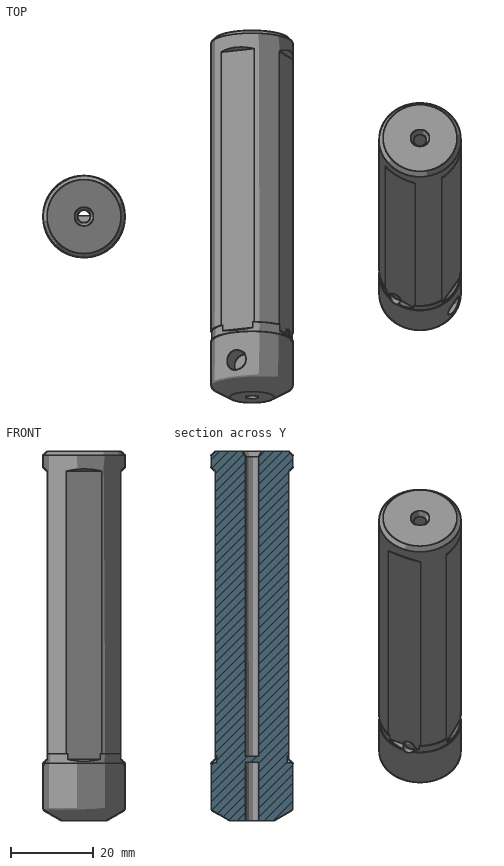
import cadquery as cq
import math

body_radius = 10.0
body_length = 90.0

top_chamfer = 1.0
nose_radius = 5.4
nose_angle = 30.0
nose_blend_radius = 0.9

groove_radius = 9.82
groove_bottom_z = 14.0
groove_top_z = 16.4

flat_distance = 9.0
x_flat_end_angle = 45.0
y_flat_end_angle = 30.0
flat_bottom_z = 15.0
flat_top_z = 85.1
cutter_overshoot = 1.0

bore_diameter = 3.1
centre_diameter = 4.6
centre_cone_angle = 60.0

pin_diameter = 3.0
pin_length = 18.0
pin_dome_radius = 3.0
pin_y = -1.25
pin_z = 15.0

side_hole_diameter = 5.0
side_hole_depth = 5.0
side_hole_z = 7.0


def make_body():
    nose_height = (body_radius - nose_radius) * math.tan(math.radians(nose_angle))
    profile = (
        cq.Workplane("XZ")
        .moveTo(0, 0)
        .lineTo(nose_radius, 0)
        .lineTo(body_radius, nose_height)
        .lineTo(body_radius, groove_bottom_z)
        .lineTo(groove_radius, groove_bottom_z)
        .lineTo(groove_radius, groove_top_z)
        .lineTo(body_radius, groove_top_z)
        .lineTo(body_radius, body_length - top_chamfer)
        .lineTo(body_radius - top_chamfer, body_length)
        .lineTo(0, body_length)
        .close()
    )
    body = profile.revolve(360, (0, 0, 0), (0, 1, 0))
    nose_rim = cq.selectors.NearestToPointSelector((0, 0, nose_height))
    return body.edges("%CIRCLE").edges(nose_rim).fillet(nose_blend_radius)


def make_flat_cutter(end_angle):
    reach = body_radius - flat_distance + cutter_overshoot
    outer = flat_distance + reach
    rise = reach * math.tan(math.radians(end_angle))
    return (
        cq.Workplane("XZ")
        .moveTo(flat_distance, flat_bottom_z)
        .lineTo(outer, flat_bottom_z - rise)
        .lineTo(outer, flat_top_z + rise)
        .lineTo(flat_distance, flat_top_z)
        .close()
        .extrude(body_radius, both=True)
    )


def make_bore():
    bore = cq.Workplane("XY").circle(bore_diameter / 2).extrude(body_length)
    half_angle = math.radians(centre_cone_angle / 2)
    cone_depth = (centre_diameter - bore_diameter) / 2 / math.tan(half_angle)
    cone = cq.Solid.makeCone(
        bore_diameter / 2,
        centre_diameter / 2,
        cone_depth,
        pnt=cq.Vector(0, 0, body_length - cone_depth),
    )
    return bore.union(cq.Workplane(cone))


def make_cross_hole():
    return (
        cq.Workplane("YZ")
        .center(pin_y, pin_z)
        .circle(pin_diameter / 2)
        .extrude(body_radius, both=True)
    )


def make_pin():
    radius = pin_diameter / 2
    half_length = pin_length / 2
    dome_height = pin_dome_radius - math.sqrt(pin_dome_radius**2 - radius**2)
    arc_radius = radius / 2
    arc_x = half_length - pin_dome_radius + math.sqrt(pin_dome_radius**2 - arc_radius**2)
    shoulder_x = half_length - dome_height
    profile = (
        cq.Workplane("XY")
        .moveTo(-half_length, 0)
        .threePointArc((-arc_x, arc_radius), (-shoulder_x, radius))
        .lineTo(shoulder_x, radius)
        .threePointArc((arc_x, arc_radius), (half_length, 0))
        .close()
    )
    pin = profile.revolve(360, (0, 0, 0), (1, 0, 0))
    return pin.translate((0, pin_y, pin_z))


def make_side_hole():
    return (
        cq.Workplane("XZ", origin=(0, body_radius, side_hole_z))
        .circle(side_hole_diameter / 2)
        .extrude(side_hole_depth)
    )


result = make_body()
for side_angle in (0, 90, 180, 270):
    end_angle = x_flat_end_angle if side_angle % 180 == 0 else y_flat_end_angle
    flat_cutter = make_flat_cutter(end_angle)
    result = result.cut(flat_cutter.rotate((0, 0, 0), (0, 0, 1), side_angle))
result = result.cut(make_bore())
result = result.cut(make_cross_hole())
result = result.cut(make_side_hole())
result = result.union(make_pin())